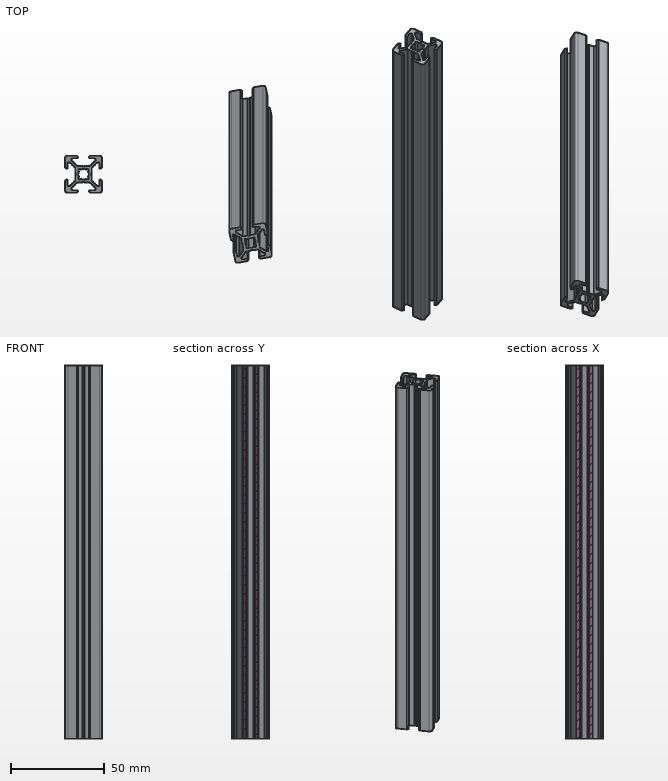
import cadquery as cq
import math

length = 200.0
width = 20.0
corner_radius = 1.5

slot_opening = 5.5
lip_thickness = 1.5
lip_outer_chamfer = 0.9
lip_inner_chamfer = 0.5
slot_corner_radius = 0.5
slot_inner_width = 12.8

core_width = 9.0
web_thickness = 1.5
groove_width = 1.5
groove_depth = 0.5

bore_diameter = 5.5
flute_diameter = 1.5
flute_reach = 3.5

half_width = width / 2
half_core = core_width / 2
half_groove = groove_width / 2
half_opening = slot_opening / 2
half_inner = slot_inner_width / 2
lip_inside = half_width - lip_thickness
match_distance = 0.02
web_offset = web_thickness / math.sqrt(2)


def make_slot():
    """T-slot cavity on the +Y side, with a shallow V-groove in its floor."""
    right_side = [
        (half_groove, half_core),
        (half_core - web_offset, half_core),
        (half_inner, half_inner + web_offset),
        (half_inner, lip_inside),
        (half_opening, lip_inside),
        (half_opening, half_width),
    ]
    left_side = [(-x, y) for x, y in reversed(right_side)]
    groove_bottom = (0, half_core - groove_depth)
    outline = [groove_bottom] + right_side + left_side
    return cq.Workplane("XY").polyline(outline).close().extrude(length)


def slot_edges(body, across, depth):
    """Lengthwise edges at (across, depth) and its mirror images in every slot."""
    selected = []
    for edge in body.edges("|Z").vals():
        center = edge.Center()
        near, far = sorted((abs(center.x), abs(center.y)))
        if math.hypot(near - across, far - depth) < match_distance:
            selected.append(edge)
    return body.newObject(selected)


def make_bore():
    """Round bore merged with a round-bottomed flute on each diagonal."""
    bore = cq.Workplane("XY").circle(bore_diameter / 2).extrude(length)
    flutes = (
        cq.Workplane("XY")
        .polarArray(flute_reach - flute_diameter / 2, 45, 360, 4)
        .circle(flute_diameter / 2)
        .extrude(length)
    )
    return bore.union(flutes)


body = cq.Workplane("XY").rect(width, width).extrude(length)
body = body.edges("|Z").fillet(corner_radius)

slot = make_slot()
for quarter_turn in range(4):
    body = body.cut(slot.rotate((0, 0, 0), (0, 0, 1), 90 * quarter_turn))

body = slot_edges(body, half_opening, half_width).chamfer(lip_outer_chamfer)
body = slot_edges(body, half_opening, lip_inside).chamfer(lip_inner_chamfer)
body = slot_edges(body, half_inner, lip_inside).fillet(slot_corner_radius)
result = body.cut(make_bore())